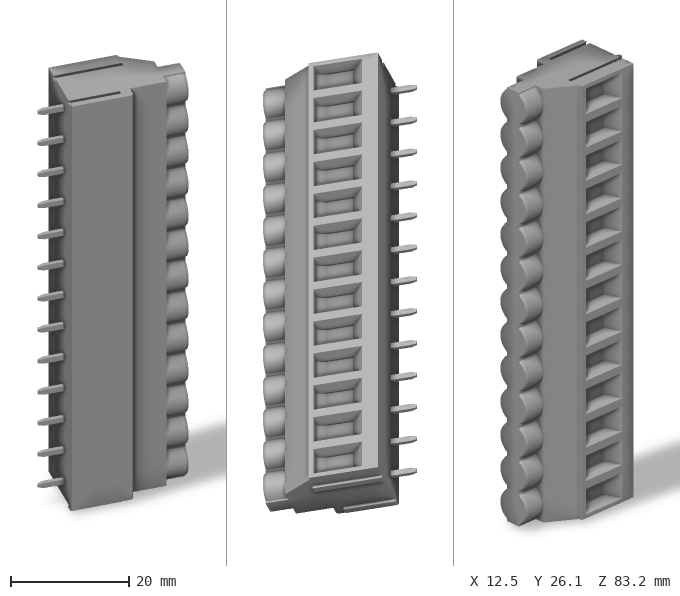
import cadquery as cq

POLES = 13
BODY_WIDTH = 12.5
BODY_HEIGHT = 82.5
TOTAL_HEIGHT = 83.15
PITCH = BODY_HEIGHT / POLES

LEFT_SHOULDER_Y = 12.2
LEFT_SHOULDER_WIDTH = 0.6
RIGHT_SHOULDER_Y = 11.0
RIGHT_SHOULDER_CHAMFER = 0.3
SCREW_BASE_Y = 17.55
BACK_Y = 21.5

BARREL_RADIUS = 3.25
BARREL_X = 7.15
BARREL_CHAMFER_DEPTH = 0.5
BARREL_CHAMFER_WIDTH = 0.2
WEB_WIDTH = 2.9

ENTRY_FRONT_Y = 2.75
ENTRY_BACK_Y = 11.3
ENTRY_HEIGHT = 4.8
ENTRY_BACK_DEPTH = 1.7
SLOPE_DEPTH = 1.8
FLOOR_DEPTH = 2.25
FLOOR_HEIGHT = 3.5
FLOOR_FRONT_Y = 5.1
FLOOR_BACK_Y = 9.6

PIN_X = 7.8
PIN_WIDTH = 0.75
PIN_HEIGHT = 1.0
PIN_LENGTH = 4.6
PIN_TIP_LENGTH = 1.0
PIN_TIP_SCALE = 0.6

DOVETAILS = [(3.0, LEFT_SHOULDER_Y), (11.0, 9.15)]
DOVETAIL_DEPTH = TOTAL_HEIGHT - BODY_HEIGHT
DOVETAIL_NECK = 0.75
DOVETAIL_FLARE_DEPTH = 0.4
DOVETAIL_FLARE = 1.25

pole_heights = [(i + 0.5) * PITCH for i in range(POLES)]


def make_housing():
    barrel_left = BARREL_X - BARREL_RADIUS
    barrel_right = BARREL_X + BARREL_RADIUS
    section = [
        (0, 0),
        (BODY_WIDTH, 0),
        (BODY_WIDTH, RIGHT_SHOULDER_Y - RIGHT_SHOULDER_CHAMFER),
        (BODY_WIDTH - RIGHT_SHOULDER_CHAMFER, RIGHT_SHOULDER_Y),
        (barrel_right, RIGHT_SHOULDER_Y),
        (barrel_right, SCREW_BASE_Y),
        (barrel_left, SCREW_BASE_Y),
        (LEFT_SHOULDER_WIDTH, LEFT_SHOULDER_Y),
        (0, LEFT_SHOULDER_Y),
    ]
    return cq.Workplane("XY").polyline(section).close().extrude(BODY_HEIGHT)


def make_barrel(z):
    """Round screw barrel with a bevelled rim, axis along Y."""
    half_section = [
        (0, SCREW_BASE_Y),
        (BARREL_RADIUS, SCREW_BASE_Y),
        (BARREL_RADIUS, BACK_Y - BARREL_CHAMFER_DEPTH),
        (BARREL_RADIUS - BARREL_CHAMFER_WIDTH, BACK_Y),
        (0, BACK_Y),
    ]
    barrel = cq.Workplane("XY").polyline(half_section).close().revolve(360, (0, 0), (0, 1))
    return barrel.translate((BARREL_X, 0, z))


def make_barrel_row():
    """All barrels and the flat web that joins them, trimmed flush with the housing ends."""
    web = cq.Workplane("XY").box(
        WEB_WIDTH, BACK_Y - SCREW_BASE_Y, BODY_HEIGHT, centered=(True, False, False)
    )
    row = web.translate((BARREL_X, SCREW_BASE_Y, 0))
    for z in pole_heights:
        row = row.union(make_barrel(z))
    return row.intersect(cq.Workplane("XY").box(BODY_WIDTH, BACK_Y, BODY_HEIGHT, centered=False))


def make_entry(z):
    """Wire entry funnel: the overlap of its XY section and its XZ section.

    The top and bottom slope inwards to SLOPE_DEPTH and run straight to the floor;
    the floor gets shallower towards the back.
    """
    plan = [
        (0, ENTRY_FRONT_Y),
        (FLOOR_DEPTH, FLOOR_FRONT_Y),
        (FLOOR_DEPTH, FLOOR_BACK_Y),
        (ENTRY_BACK_DEPTH, ENTRY_BACK_Y),
        (0, ENTRY_BACK_Y),
    ]
    elevation = [
        (0, -ENTRY_HEIGHT / 2),
        (SLOPE_DEPTH, -FLOOR_HEIGHT / 2),
        (FLOOR_DEPTH, -FLOOR_HEIGHT / 2),
        (FLOOR_DEPTH, FLOOR_HEIGHT / 2),
        (SLOPE_DEPTH, FLOOR_HEIGHT / 2),
        (0, ENTRY_HEIGHT / 2),
    ]
    plan_solid = cq.Workplane("XY").polyline(plan).close().extrude(ENTRY_HEIGHT / 2, both=True)
    side_solid = cq.Workplane("XZ").polyline(elevation).close().extrude(-ENTRY_BACK_Y)
    return plan_solid.intersect(side_solid).translate((0, 0, z))


def make_pin(z):
    """Rectangular solder pin with a tapered tip, pointing to -Y."""
    shank = cq.Workplane("XZ").rect(PIN_WIDTH, PIN_HEIGHT).extrude(PIN_LENGTH - PIN_TIP_LENGTH)
    pin = (
        shank.faces("<Y").workplane().rect(PIN_WIDTH, PIN_HEIGHT)
        .workplane(offset=PIN_TIP_LENGTH)
        .rect(PIN_WIDTH * PIN_TIP_SCALE, PIN_HEIGHT * PIN_TIP_SCALE)
        .loft(combine=True)
    )
    return pin.translate((PIN_X, 0, z))


def make_dovetail(x, length, z):
    """Dovetail bar with its neck at height z, flaring downwards to a straight-sided foot."""
    section = [
        (-DOVETAIL_NECK / 2, 0),
        (DOVETAIL_NECK / 2, 0),
        (DOVETAIL_FLARE / 2, -DOVETAIL_FLARE_DEPTH),
        (DOVETAIL_FLARE / 2, -DOVETAIL_DEPTH),
        (-DOVETAIL_FLARE / 2, -DOVETAIL_DEPTH),
        (-DOVETAIL_FLARE / 2, -DOVETAIL_FLARE_DEPTH),
    ]
    return cq.Workplane("XZ").polyline(section).close().extrude(-length).translate((x, 0, z))


result = make_housing().union(make_barrel_row())

for height in pole_heights:
    result = result.cut(make_entry(height)).union(make_pin(height))

for centre_x, rail_length in DOVETAILS:
    result = result.cut(make_dovetail(centre_x, rail_length, BODY_HEIGHT))
    result = result.union(make_dovetail(centre_x, rail_length, 0))